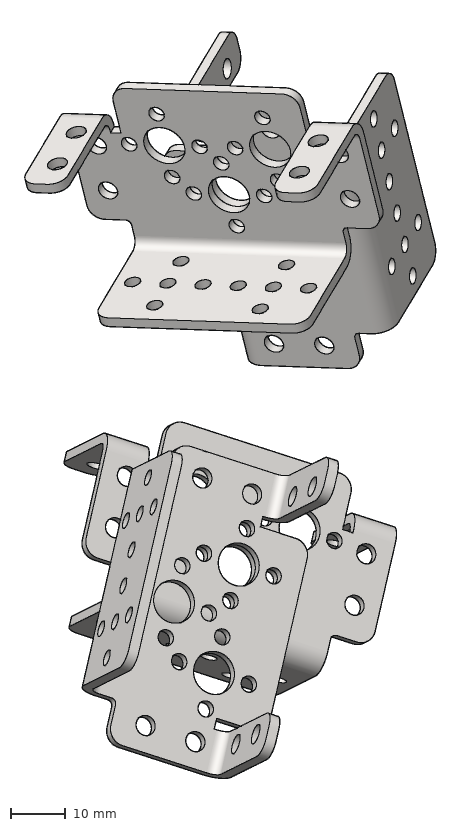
import cadquery as cq


SHEET = 2.0
BEND_OUTER = 4.0
BEND_INNER = BEND_OUTER - SHEET
LEG_LENGTH = 25.0
CORNER_RADIUS = 3.0
STEP_RADIUS = 1.0

EAR_HALF_WIDTH = 29.0
EAR_BOTTOM = -6.5
TAB_WIDTH = 8.4
CROWN_HALF_WIDTH = 18.55
CROWN_TOP = 23.0
SLOT_BOTTOM = 13.0
TAB_BEND = 13.5
FLANGE_HALF_WIDTH = 21.0
FLANGE_BEND = -10.0
TAB_INNER = EAR_HALF_WIDTH - TAB_WIDTH

BORE_DIAMETER = 8.0
SCREW_DIAMETER = 3.0
MOUNT_DIAMETER = 3.7
BORE_OFFSET = 10.5
SCREW_PITCH = 7.0
MOUNT_HOLE_X = 24.0
EAR_HOLE_PITCH = 10.0
TAB_HOLE_HEIGHTS = (8.5, 18.5)
FLANGE_ROW_HEIGHT = 13.55
FLANGE_HOLE_COLUMNS = 6

ROLL = 12.9
PITCH = -1.1
YAW = -0.4


def plate():
    """Flat part of the bracket, between the bend lines, with its rounded corners."""
    right_side = [
        (FLANGE_HALF_WIDTH, FLANGE_BEND),
        (FLANGE_HALF_WIDTH, EAR_BOTTOM),
        (EAR_HALF_WIDTH, EAR_BOTTOM),
        (EAR_HALF_WIDTH, TAB_BEND),
        (TAB_INNER, TAB_BEND),
        (TAB_INNER, SLOT_BOTTOM),
        (CROWN_HALF_WIDTH, SLOT_BOTTOM),
        (CROWN_HALF_WIDTH, CROWN_TOP),
    ]
    left_side = [(-x, y) for x, y in reversed(right_side)]
    body = cq.Workplane("XY").polyline(right_side + left_side).close().extrude(SHEET)
    for side in (-1, 1):
        for x, y, radius in (
            (EAR_HALF_WIDTH, EAR_BOTTOM, CORNER_RADIUS),
            (CROWN_HALF_WIDTH, CROWN_TOP, CORNER_RADIUS),
            (FLANGE_HALF_WIDTH, EAR_BOTTOM, STEP_RADIUS),
        ):
            corner = cq.selectors.NearestToPointSelector((side * x, y, SHEET / 2))
            body = body.edges("|Z").edges(corner).fillet(radius)
    return body


def bent_leg(x_start, width, bend_line, direction):
    """Leg that curves out of the plate at bend_line; direction is the sign of its outer face."""
    outer_face = bend_line + direction * BEND_OUTER
    inner_face = bend_line + direction * BEND_INNER
    return (
        cq.Workplane("YZ", origin=(x_start, 0, 0))
        .moveTo(bend_line, 0)
        .radiusArc((outer_face, BEND_OUTER), -direction * BEND_OUTER)
        .lineTo(outer_face, LEG_LENGTH)
        .lineTo(inner_face, LEG_LENGTH)
        .lineTo(inner_face, BEND_OUTER)
        .radiusArc((bend_line, SHEET), direction * BEND_INNER)
        .close()
        .extrude(width)
        .faces(">Z")
        .edges("|Y")
        .fillet(CORNER_RADIUS)
    )


def plate_holes():
    """Three bores, each inside a ring of four screw holes, and two holes in each ear."""
    bores = [(0, 0), (-BORE_OFFSET, BORE_OFFSET), (BORE_OFFSET, BORE_OFFSET)]
    ring = [(SCREW_PITCH, 0), (0, SCREW_PITCH), (-SCREW_PITCH, 0), (0, -SCREW_PITCH)]
    screws = [(x + dx, y + dy) for x, y in bores for dx, dy in ring]
    ears = [(x, y) for x in (-MOUNT_HOLE_X, MOUNT_HOLE_X) for y in (0, EAR_HOLE_PITCH)]
    holes = cq.Workplane("XY")
    for points, diameter in (
        (bores, BORE_DIAMETER),
        (screws, SCREW_DIAMETER),
        (ears, MOUNT_DIAMETER),
    ):
        holes = holes.add(cq.Workplane("XY").pushPoints(points).circle(diameter / 2).extrude(SHEET))
    return holes


def leg_holes(points, diameter, inner_face, direction):
    """Holes at (x, height) points through a leg, cut outwards from its inner face."""
    leg_plane = cq.Plane(origin=(0, inner_face, 0), xDir=(1, 0, 0), normal=(0, -1, 0))
    return cq.Workplane(leg_plane).pushPoints(points).circle(diameter / 2).extrude(-direction * SHEET)


def bracket():
    """One complete bracket in its own frame."""
    body = plate()
    body = body.union(bent_leg(-FLANGE_HALF_WIDTH, 2 * FLANGE_HALF_WIDTH, FLANGE_BEND, -1))
    for x_start in (-EAR_HALF_WIDTH, TAB_INNER):
        body = body.union(bent_leg(x_start, TAB_WIDTH, TAB_BEND, 1))

    for hole in plate_holes().vals():
        body = body.cut(cq.Workplane(hole))

    tab_points = [(x, height) for x in (-MOUNT_HOLE_X, MOUNT_HOLE_X) for height in TAB_HOLE_HEIGHTS]
    body = body.cut(leg_holes(tab_points, MOUNT_DIAMETER, TAB_BEND + BEND_INNER, 1))

    columns = [(i - (FLANGE_HOLE_COLUMNS - 1) / 2) * SCREW_PITCH for i in range(FLANGE_HOLE_COLUMNS)]
    flange_points = [(x, FLANGE_ROW_HEIGHT) for x in columns]
    for x in (columns[1], columns[-2]):
        flange_points += [(x, FLANGE_ROW_HEIGHT - SCREW_PITCH), (x, FLANGE_ROW_HEIGHT + SCREW_PITCH)]
    return body.cut(leg_holes(flange_points, SCREW_DIAMETER, FLANGE_BEND - BEND_INNER, -1))


def stand_up(body):
    """Turn a body from the bracket frame to its final attitude, front face towards -Y."""
    origin = (0, 0, 0)
    return (
        body.rotate(origin, (0, 0, 1), ROLL)
        .rotate(origin, (1, 0, 0), 90 + PITCH)
        .rotate(origin, (0, 0, 1), YAW)
    )


def flip_behind(body):
    """Turn a bracket over a diagonal so that one upper bore meets the first one's middle bore."""
    return body.rotate((0, 0, 0), (1, -1, 0), 180).translate((BORE_OFFSET, -BORE_OFFSET, 0))


front_bracket = bracket()
rear_bracket = flip_behind(front_bracket)
brackets = [stand_up(body) for body in (front_bracket, rear_bracket)]

result = cq.Compound.makeCompound([body.val() for body in brackets])